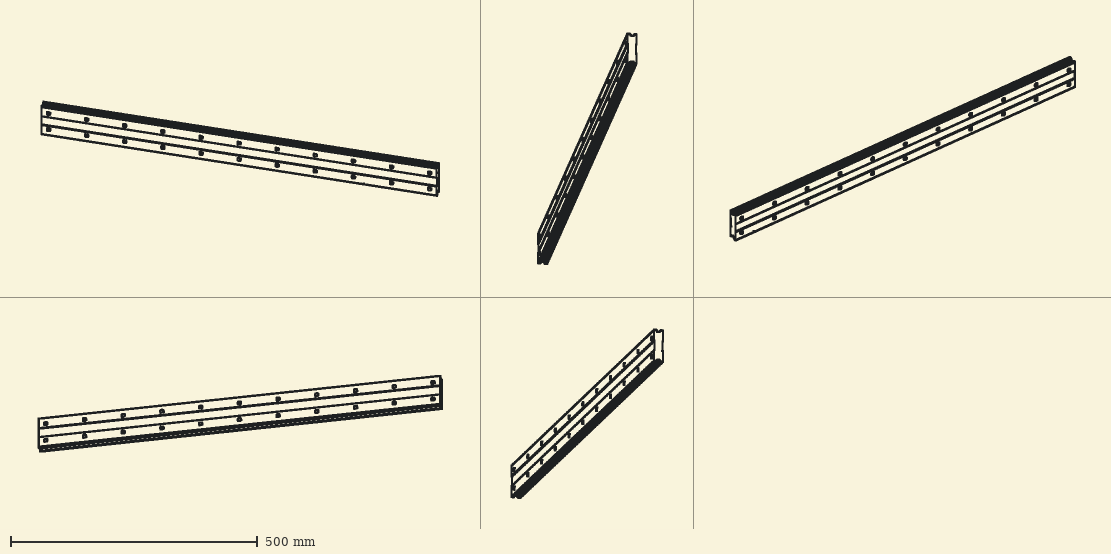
import cadquery as cq
import math

length = 830.0
thickness = 19.0
height = 69.0
corner_chamfer = 0.9

groove_half_width = 5.3
groove_depth = 4.0
front_wall_angle = math.radians(60)
raceway_radius = 0.38
raceway_half_angle = math.radians(27.5)
raceway_middle_depth = 1.6

channel_floor_width = 20.0
channel_depth = 1.0

hole_diameter = 7.0
holes_per_row = 11
end_distance = 15.0
hole_pitch = (length - 2 * end_distance) / (holes_per_row - 1)
row_spacing = hole_pitch / 2


def extrude_along_rail(profile):
    """Solid of the closed Y-Z profile over the whole length."""
    return profile.close().extrude(length / 2, both=True)


def edge_groove():
    """Groove with its raceway along the top edge."""
    top = height / 2
    floor = top - groove_depth
    middle_y = groove_half_width - raceway_middle_depth
    middle_z = top - raceway_middle_depth
    diagonal = math.sqrt(34.44)
    half_chord = diagonal * raceway_radius * math.sin(raceway_half_angle)
    sag = diagonal * raceway_radius * (1 - math.cos(raceway_half_angle))
    profile = (
        cq.Workplane("YZ")
        .moveTo(-groove_half_width, top)
        .lineTo(-groove_half_width + groove_depth / math.tan(front_wall_angle), floor)
        .lineTo(groove_half_width - groove_depth, floor)
        .lineTo(middle_y - half_chord, middle_z - half_chord)
        .threePointArc(
            (middle_y + sag, middle_z - sag),
            (middle_y + half_chord, middle_z + half_chord),
        )
        .lineTo(groove_half_width, top)
    )
    return extrude_along_rail(profile)


def face_channel():
    """Shallow channel along the middle of the front face."""
    face = -thickness / 2
    half_floor = channel_floor_width / 2
    half_mouth = half_floor + channel_depth
    profile = cq.Workplane("YZ").polyline(
        [
            (face, -half_mouth),
            (face + channel_depth, -half_floor),
            (face + channel_depth, half_floor),
            (face, half_mouth),
        ]
    )
    return extrude_along_rail(profile)


def mounting_holes():
    """Two rows of holes right through the thickness."""
    return (
        cq.Workplane("XZ")
        .rarray(hole_pitch, row_spacing, holes_per_row, 2)
        .circle(hole_diameter / 2)
        .extrude(thickness, both=True)
    )


rail = cq.Workplane("XY").box(length, thickness, height)
rail = rail.edges("|X").chamfer(corner_chamfer)
top_groove = edge_groove()
front_channel = face_channel()
rail = rail.cut(top_groove).cut(top_groove.mirror("XY"))
rail = rail.cut(front_channel).cut(front_channel.mirror("XZ"))
result = rail.cut(mounting_holes())